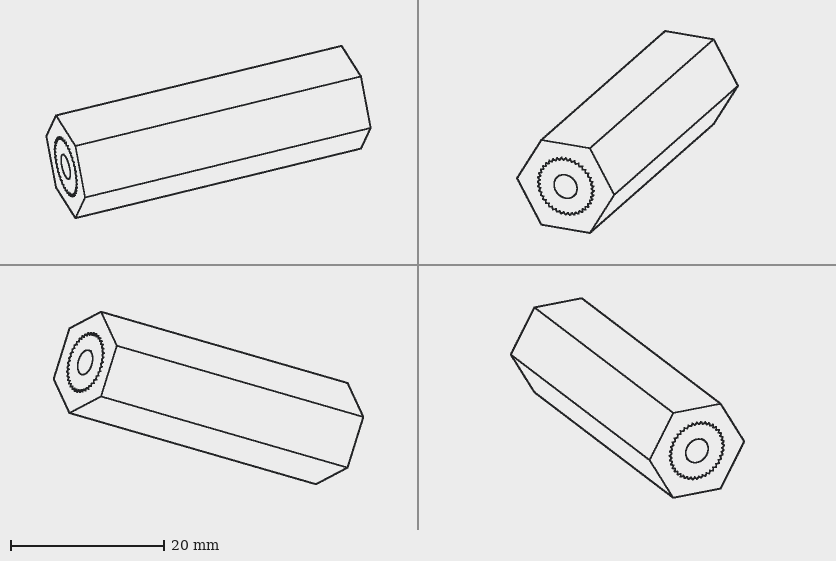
import cadquery as cq
import math

LENGTH = 40.0
ACROSS_FLATS = 12.0
ACROSS_CORNERS = ACROSS_FLATS / math.cos(math.pi / 6)

INSERT_LENGTH = 10.0
BORE_DIAMETER = 3.3
CORE_DIAMETER = 7.5

KNURL_TIP_DIAMETER = 8.0
KNURL_ROOT_DIAMETER = 7.4
TOOTH_COUNT = 40
TOOTH_PITCH_ANGLE = 2 * math.pi / TOOTH_COUNT


def knurl_point(diameter, angle):
    """Point on a circle around the spacer axis, the angle measured from +X."""
    radius = diameter / 2
    return (radius * math.cos(angle), radius * math.sin(angle))


def make_plug():
    """Toothed bar with the outer shape of the insert, at the -Y end."""
    outline = []
    for tooth in range(TOOTH_COUNT):
        tip_angle = tooth * TOOTH_PITCH_ANGLE
        root_angle = tip_angle + TOOTH_PITCH_ANGLE / 2
        outline.append(knurl_point(KNURL_TIP_DIAMETER, tip_angle))
        outline.append(knurl_point(KNURL_ROOT_DIAMETER, root_angle))
    end_plane = cq.Workplane("XZ", origin=(0, -LENGTH / 2, 0))
    return end_plane.polyline(outline).close().extrude(-INSERT_LENGTH)


def make_axial_cylinder(diameter):
    """Cylinder along the full length of the spacer axis."""
    return cq.Workplane("XZ").circle(diameter / 2).extrude(LENGTH / 2, both=True)


def make_spacer(plugs):
    """Hexagonal bar with a matching toothed recess for the insert at each end."""
    spacer = cq.Workplane("XZ").polygon(6, ACROSS_CORNERS).extrude(LENGTH / 2, both=True)
    for plug in plugs:
        spacer = spacer.cut(plug)
    return spacer


def make_insert(plug):
    """Bored core with the knurl teeth around it, joined into one solid."""
    core_cylinder = make_axial_cylinder(CORE_DIAMETER)
    core = plug.intersect(core_cylinder).cut(make_axial_cylinder(BORE_DIAMETER))
    teeth = plug.cut(core_cylinder)
    return core.union(teeth, clean=False)


front_plug = make_plug()
plugs = [front_plug, front_plug.mirror("XZ")]

spacer = make_spacer(plugs)
inserts = [make_insert(plug) for plug in plugs]

result = cq.Compound.makeCompound([
    spacer.solids().val(),
    *[insert.solids().val() for insert in inserts],
])